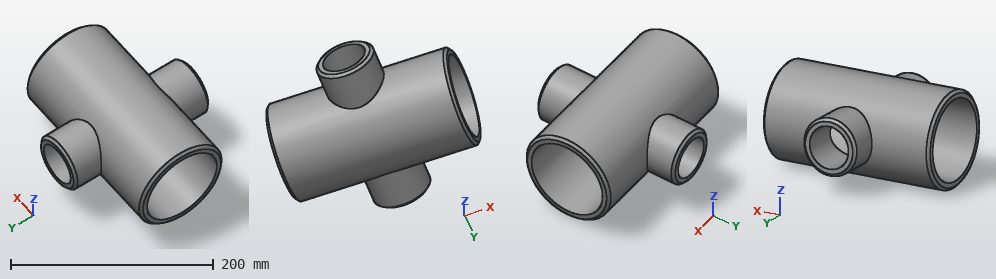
import cadquery as cq

run_length = 190.5
run_diameter = 101.5

branch_span = 165.2
branch_diameter = 60.4

wall = 8.0
bevel_radial = 3.0
bevel_axial = 2.9


def centred_cylinder(plane, diameter, length):
    return cq.Workplane(plane).circle(diameter / 2).extrude(length / 2, both=True)


def bevelled_cylinder(plane, diameter, length):
    """Solid cylinder of revolution with a bevel on both end rims."""
    radius = diameter / 2
    half = length / 2
    cylinder = centred_cylinder(plane, diameter, length - 2 * bevel_axial)
    for side in (1, -1):
        cone = (
            cq.Workplane(plane)
            .workplane(offset=side * (half - bevel_axial))
            .circle(radius)
            .workplane(offset=side * bevel_axial)
            .circle(radius - bevel_radial)
            .loft()
        )
        cylinder = cylinder.union(cone)
    return cylinder


run = bevelled_cylinder("YZ", run_diameter, run_length)
branches = bevelled_cylinder("XZ", branch_diameter, branch_span)
body = run.union(branches)

run_bore = centred_cylinder("YZ", run_diameter - 2 * wall, run_length)
branch_bore = centred_cylinder("XZ", branch_diameter - 2 * wall, branch_span)

result = body.cut(run_bore).cut(branch_bore)